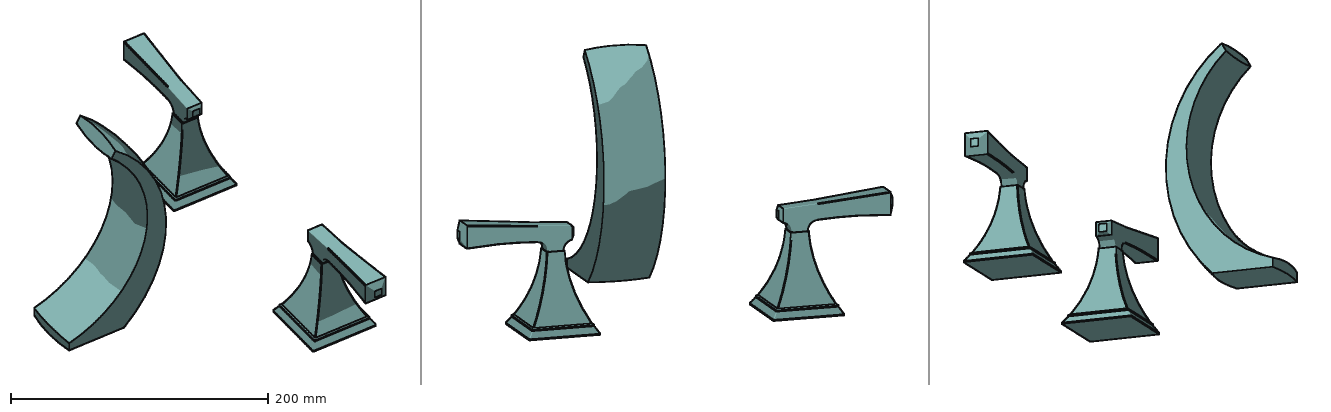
import cadquery as cq

handle_spacing = 200.3
base_half = 29.0
foot_lip = 1.0
foot_top_half = 25.5
foot_slope_top = 6.5
foot_top = 7.5
flare_start_half = 24.0
flare_start = 8.5
flare_mid_half = 14.5
flare_mid = 29.0
flare_top_half = 7.5
flare_top = 64.0

head_half = 6.7
lever_bottom = 72.0
neck_fillet = lever_bottom - flare_top
head_end = 13.5
head_top = 83.5
lever_start = head_half + neck_fillet
lever_start_top = 85.5
lever_length = 73.5
lever_end_top = 91.0
lever_end_half = 9.5
lever_mid_half = 7.8
lever_mid_rise = 1.0
lever_mid = (lever_start + lever_length) / 2

lever_tip_reach = 77.5
head_tip_reach = 16.0
tip_half = 3.2

edge_round = 0.7

spout_half = 25.2
crown = 2.5
outer_radius = 123.0
outer_center = (-218.5, 88.8)
inner_radius = 97.3
inner_center = (-215.0, 103.5)
spout_front = -190.3
tip_outer = (-143.8, 186.5)
tip_inner = (-150.2, 175.0)


def make_base():
    """Square base with rounded corners: the same flared outline seen along X and along Y."""
    def flared_prism(plane):
        return (
            cq.Workplane(plane)
            .moveTo(-base_half, 0)
            .lineTo(base_half, 0)
            .lineTo(base_half, foot_lip)
            .lineTo(foot_top_half, foot_slope_top)
            .lineTo(foot_top_half, foot_top)
            .lineTo(flare_start_half, flare_start)
            .threePointArc((flare_mid_half, flare_mid), (flare_top_half, flare_top))
            .lineTo(-flare_top_half, flare_top)
            .threePointArc((-flare_mid_half, flare_mid), (-flare_start_half, flare_start))
            .lineTo(-foot_top_half, foot_top)
            .lineTo(-foot_top_half, foot_slope_top)
            .lineTo(-base_half, foot_lip)
            .close()
            .extrude(base_half, both=True)
        )

    base = flared_prism("XZ").intersect(flared_prism("YZ"))
    corner_edges = base.edges("not(#Z)")
    return corner_edges.fillet(edge_round)


def make_lever():
    """Neck, head and lever, pointing to -X: side outline crossed with plan outline, long edges rounded."""
    arc_offset = neck_fillet * (1 - 0.5 ** 0.5)
    side = (
        cq.Workplane("XZ")
        .moveTo(-head_half, flare_top)
        .lineTo(head_half, flare_top)
        .threePointArc((head_half + arc_offset, lever_bottom - arc_offset), (lever_start, lever_bottom))
        .lineTo(lever_start, head_top)
        .lineTo(-lever_start, lever_start_top)
        .lineTo(-lever_length, lever_end_top)
        .lineTo(-lever_length, lever_bottom)
        .threePointArc((-lever_mid, lever_bottom + lever_mid_rise), (-lever_start, lever_bottom))
        .threePointArc((-head_half - arc_offset, lever_bottom - arc_offset), (-head_half, flare_top))
        .close()
        .extrude(lever_end_half, both=True)
    )
    plan = (
        cq.Workplane("XY", origin=(0, 0, flare_top))
        .moveTo(head_end, -head_half)
        .lineTo(head_end, head_half)
        .lineTo(-lever_start, head_half)
        .threePointArc((-lever_mid, lever_mid_half), (-lever_length, lever_end_half))
        .lineTo(-lever_length, -lever_end_half)
        .threePointArc((-lever_mid, -lever_mid_half), (-lever_start, -head_half))
        .close()
        .extrude(lever_end_top - flare_top)
    )
    long_edges = side.intersect(plan).edges("not(|Y or |Z)")
    return long_edges.fillet(edge_round)


def make_tip(rim_x, flat_x, rim_half, rim_top):
    """Four-sided blunt pyramid; its rim reaches from lever_bottom up to rim_top."""
    rim_height = rim_top - lever_bottom
    rim = cq.Sketch().rect(2 * rim_half, rim_height).vertices().fillet(edge_round)
    flat = cq.Sketch().rect(2 * tip_half, 2 * tip_half).vertices().fillet(edge_round)
    return (
        cq.Workplane("YZ", origin=(rim_x, 0, lever_bottom + rim_height / 2))
        .placeSketch(rim, flat.moved(cq.Location(cq.Vector(0, 0, flat_x - rim_x))))
        .loft(ruled=True)
    )


def make_handle():
    """One handle on the Z axis with its lever pointing to -X."""
    lever_tip = make_tip(-lever_length, -lever_tip_reach, lever_end_half, lever_end_top)
    head_tip = make_tip(head_end, head_tip_reach, head_half, head_top)
    return make_base().union(make_lever()).union(lever_tip).union(head_tip)


def make_crowned_wheel(center, mid_radius, edge_radius):
    """Wheel about an X-parallel axis whose rim curves from edge_radius to mid_radius at mid-width."""
    return (
        cq.Workplane("XY", origin=(0, *center))
        .moveTo(-spout_half, 0)
        .lineTo(-spout_half, edge_radius)
        .threePointArc((0, mid_radius), (spout_half, edge_radius))
        .lineTo(spout_half, 0)
        .close()
        .revolve(360, (0, 0, 0), (1, 0, 0))
    )


def make_spout():
    """Blade between two crowned wheels, trimmed at the mouth, the floor and the front."""
    outer_wheel = make_crowned_wheel(outer_center, outer_radius, outer_radius - crown)
    inner_wheel = make_crowned_wheel(inner_center, inner_radius, inner_radius + crown)

    mouth_run = tip_outer[0] - tip_inner[0]
    mouth_rise = tip_outer[1] - tip_inner[1]
    side_trim = (
        cq.Workplane("YZ")
        .moveTo(spout_front, 0)
        .lineTo(0, 0)
        .lineTo(tip_outer[0] + mouth_run, tip_outer[1] + mouth_rise)
        .lineTo(tip_inner[0] - mouth_run, tip_inner[1] - mouth_rise)
        .lineTo(spout_front, inner_center[1])
        .close()
        .extrude(spout_half, both=True)
    )
    plan_trim = (
        cq.Workplane("XY")
        .moveTo(spout_half, 0)
        .lineTo(-spout_half, 0)
        .lineTo(-spout_half, spout_front + crown)
        .threePointArc((0, spout_front), (spout_half, spout_front + crown))
        .close()
        .extrude(tip_outer[1] + mouth_rise)
    )
    return outer_wheel.cut(inner_wheel).intersect(side_trim).intersect(plan_trim)


spout = make_spout()

handles = []
for side in (-1, 1):
    handle = make_handle()
    if side > 0:
        handle = handle.mirror("YZ")
    handles.append(handle.translate((side * handle_spacing / 2, 0, 0)))

result = cq.Compound.makeCompound([spout.solids().val(), *[handle.solids().val() for handle in handles]])